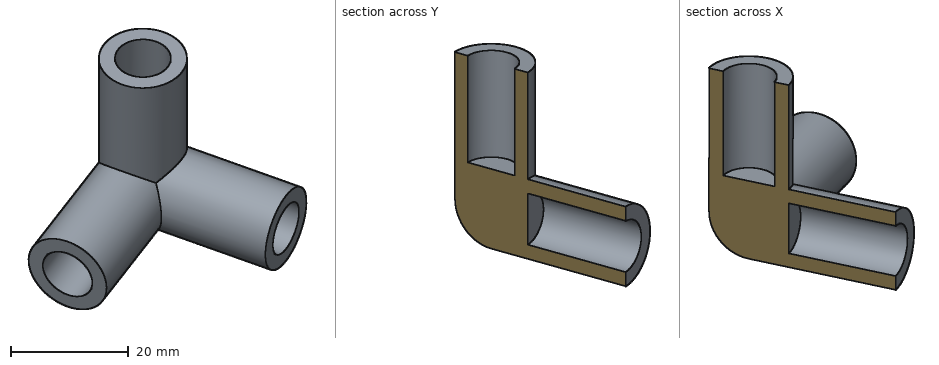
import cadquery as cq

overall_size = 35.0
tube_diameter = 15.0
bore_diameter = 9.52

tube_radius = tube_diameter / 2
arm_length = overall_size - tube_radius
joint_offset = tube_radius
bore_depth = arm_length - joint_offset

corner = cq.Vector(0, 0, 0)
arm_directions = [cq.Vector(1, 0, 0), cq.Vector(0, -1, 0), cq.Vector(0, 0, 1)]


def rod(diameter, start, length, direction):
    """Solid cylinder starting at a distance from the corner along an arm."""
    return cq.Solid.makeCylinder(diameter / 2, length, corner + direction * start, direction)


result = cq.Workplane("XY").sphere(tube_radius)
for direction in arm_directions:
    result = result.union(cq.Workplane(rod(tube_diameter, 0, arm_length, direction)))

for direction in arm_directions:
    result = result.cut(cq.Workplane(rod(bore_diameter, joint_offset, bore_depth, direction)))